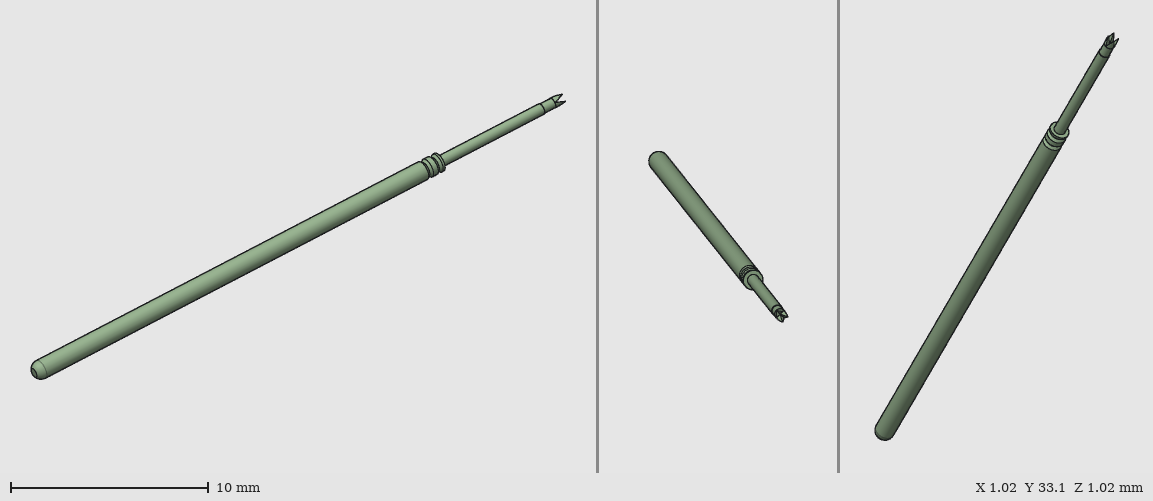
import cadquery as cq

total_length = 33.1
barrel_diameter = 1.02
barrel_length = 25.4
barrel_end_rounding = 0.5
barrel_end_flat_diameter = 0.5

plunger_diameter = 0.6
neck_diameter = 0.54
neck_length = 0.7

crown_diameter = 0.56
crown_length = 0.6
crown_groove_depth = 0.55
crown_groove_width = 0.38
crown_groove_count = 2
crown_groove_angle = 180 / crown_groove_count
crown_first_groove_angle = 45

crimp_width = 0.3
crimp_depth = 0.12
crimp_setbacks = (0.28, 0.88)

tip_y = total_length / 2
barrel_end_y = -total_length / 2
barrel_mouth_y = barrel_end_y + barrel_length
crown_base_y = tip_y - crown_length
neck_base_y = crown_base_y - neck_length


def rod(diameter, start_y, end_y):
    """Solid cylinder on the Y axis between two stations."""
    return (
        cq.Workplane("XZ", origin=(0, end_y, 0))
        .circle(diameter / 2)
        .extrude(end_y - start_y)
    )


def make_barrel():
    """Barrel profile with a rounded closed end and V-shaped crimps, revolved about Y."""
    radius = barrel_diameter / 2
    flat_radius = barrel_end_flat_diameter / 2
    reach = barrel_end_rounding - (radius - flat_radius)
    rounding_length = (barrel_end_rounding**2 - reach**2) ** 0.5
    shoulder_y = barrel_end_y + rounding_length
    middle_offset = rounding_length / 2
    middle_reach = (barrel_end_rounding**2 - middle_offset**2) ** 0.5
    profile = (
        cq.Workplane("ZY")
        .moveTo(0, barrel_end_y)
        .lineTo(flat_radius, barrel_end_y)
        .threePointArc(
            (radius - barrel_end_rounding + middle_reach, shoulder_y - middle_offset),
            (radius, shoulder_y),
        )
    )
    for setback in reversed(crimp_setbacks):
        crimp_y = barrel_mouth_y - setback
        profile = (
            profile.lineTo(radius, crimp_y - crimp_width / 2)
            .lineTo(radius - crimp_depth, crimp_y)
            .lineTo(radius, crimp_y + crimp_width / 2)
        )
    profile = profile.lineTo(radius, barrel_mouth_y).lineTo(0, barrel_mouth_y).close()
    return profile.revolve(360, (0, 0, 0), (0, 1, 0))


def crown_groove(angle):
    """V-shaped cutter across the tip, turned about Y by the given angle."""
    half_width = crown_groove_width / 2
    return (
        cq.Workplane("XY")
        .polyline([(-half_width, tip_y), (half_width, tip_y), (0, tip_y - crown_groove_depth)])
        .close()
        .extrude(crown_diameter, both=True)
        .rotate((0, 0, 0), (0, 1, 0), angle)
    )


def make_plunger():
    """Stepped plunger with a crown of points at its tip."""
    shaft = rod(plunger_diameter, barrel_mouth_y, neck_base_y)
    neck = rod(neck_diameter, neck_base_y, crown_base_y)
    crown = rod(crown_diameter, crown_base_y, tip_y)
    for index in range(crown_groove_count):
        crown = crown.cut(crown_groove(crown_first_groove_angle + index * crown_groove_angle))
    return shaft.union(neck).union(crown)


result = make_barrel().union(make_plunger())